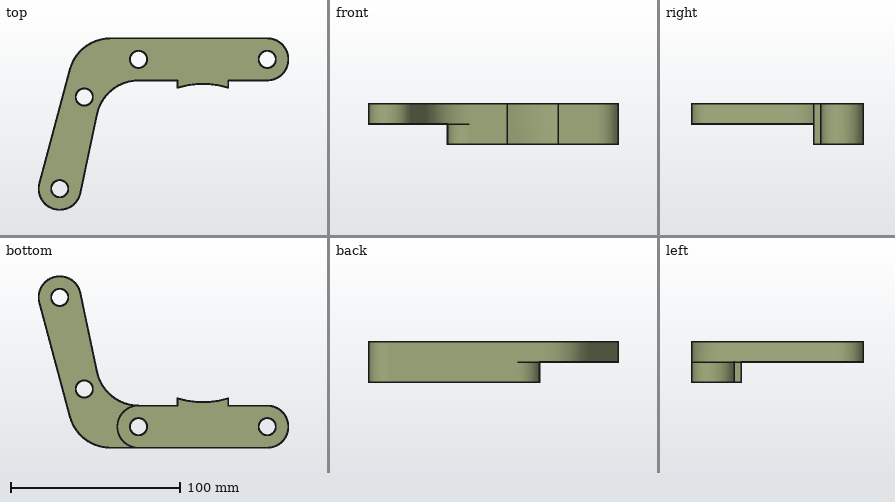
import cadquery as cq
import math


total_height = 24.0
plate_thickness = 12.0
plate_bottom = total_height - plate_thickness

end_radius = 12.5
hole_diameter = 10.0
long_arm_span = 76.0
short_arm_span = 56.0
short_arm_tilt = math.radians(15)
tip_offset_x = 46.52
tip_offset_y = 76.34

outer_elbow_radius = 25.0
inner_elbow_radius = 25.0

pad_width = 30.0
pad_projection = 2.0
pad_hollow_radius = 50.0
pad_center_x = long_arm_span / 2

elbow_hole = (0.0, 0.0)
long_arm_hole = (long_arm_span, 0.0)
tip_hole = (-tip_offset_x, -tip_offset_y)
short_arm_hole = (
    tip_hole[0] + short_arm_span * math.sin(short_arm_tilt),
    tip_hole[1] + short_arm_span * math.cos(short_arm_tilt),
)


def on_circle(center, radius, angle):
    """Point at an angle (radians from +X) on a circle."""
    return (center[0] + radius * math.cos(angle), center[1] + radius * math.sin(angle))


def elbow_plate():
    """L-shaped upper plate with a rounded elbow and rounded ends."""
    up = math.pi / 2
    down = -math.pi / 2

    outer_center_y = end_radius - outer_elbow_radius
    axis_x = tip_hole[0] + (outer_center_y - tip_hole[1]) * math.tan(short_arm_tilt)
    axis_shift = (outer_elbow_radius - end_radius) / math.cos(short_arm_tilt)
    outer_center = (axis_x + axis_shift, outer_center_y)
    outer_normal = math.pi - short_arm_tilt

    inner_center = (0.0, -end_radius - inner_elbow_radius)
    center_dx = inner_center[0] - tip_hole[0]
    center_dy = inner_center[1] - tip_hole[1]
    center_distance = math.hypot(center_dx, center_dy)
    center_angle = math.atan2(center_dy, center_dx)
    inner_normal = center_angle - math.acos((end_radius + inner_elbow_radius) / center_distance)
    elbow_normal = inner_normal + math.pi

    tip_middle = (outer_normal + inner_normal + 2 * math.pi) / 2
    return (
        cq.Workplane("XY", origin=(0, 0, plate_bottom))
        .moveTo(*on_circle(outer_center, outer_elbow_radius, up))
        .lineTo(*on_circle(long_arm_hole, end_radius, up))
        .threePointArc(
            on_circle(long_arm_hole, end_radius, 0),
            on_circle(long_arm_hole, end_radius, down),
        )
        .lineTo(*on_circle(inner_center, inner_elbow_radius, up))
        .threePointArc(
            on_circle(inner_center, inner_elbow_radius, (up + elbow_normal) / 2),
            on_circle(inner_center, inner_elbow_radius, elbow_normal),
        )
        .lineTo(*on_circle(tip_hole, end_radius, inner_normal))
        .threePointArc(
            on_circle(tip_hole, end_radius, tip_middle),
            on_circle(tip_hole, end_radius, outer_normal),
        )
        .lineTo(*on_circle(outer_center, outer_elbow_radius, outer_normal))
        .threePointArc(
            on_circle(outer_center, outer_elbow_radius, (outer_normal + up) / 2),
            on_circle(outer_center, outer_elbow_radius, up),
        )
        .close()
        .extrude(plate_thickness)
    )


def long_arm_block():
    """Round-ended block that thickens the long arm below the plate."""
    return (
        cq.Workplane("XY")
        .center(pad_center_x, 0)
        .slot2D(long_arm_span + 2 * end_radius, 2 * end_radius)
        .extrude(plate_bottom)
    )


def hollow_pad():
    """Full-height pad whose outer face is hollowed to a shallow arc."""
    half_width = pad_width / 2
    hollow_depth = pad_hollow_radius - math.sqrt(pad_hollow_radius**2 - half_width**2)
    hollow_y = -end_radius - pad_projection
    corner_y = hollow_y - hollow_depth
    left_x = pad_center_x - half_width
    right_x = pad_center_x + half_width
    return (
        cq.Workplane("XY")
        .moveTo(left_x, 0)
        .lineTo(left_x, corner_y)
        .threePointArc((pad_center_x, hollow_y), (right_x, corner_y))
        .lineTo(right_x, 0)
        .close()
        .extrude(total_height)
    )


def through_holes():
    """Cylinders for the four bores, all along Z."""
    return (
        cq.Workplane("XY")
        .pushPoints([elbow_hole, long_arm_hole, short_arm_hole, tip_hole])
        .circle(hole_diameter / 2)
        .extrude(total_height)
    )


body = elbow_plate().union(long_arm_block()).union(hollow_pad())
result = body.cut(through_holes())